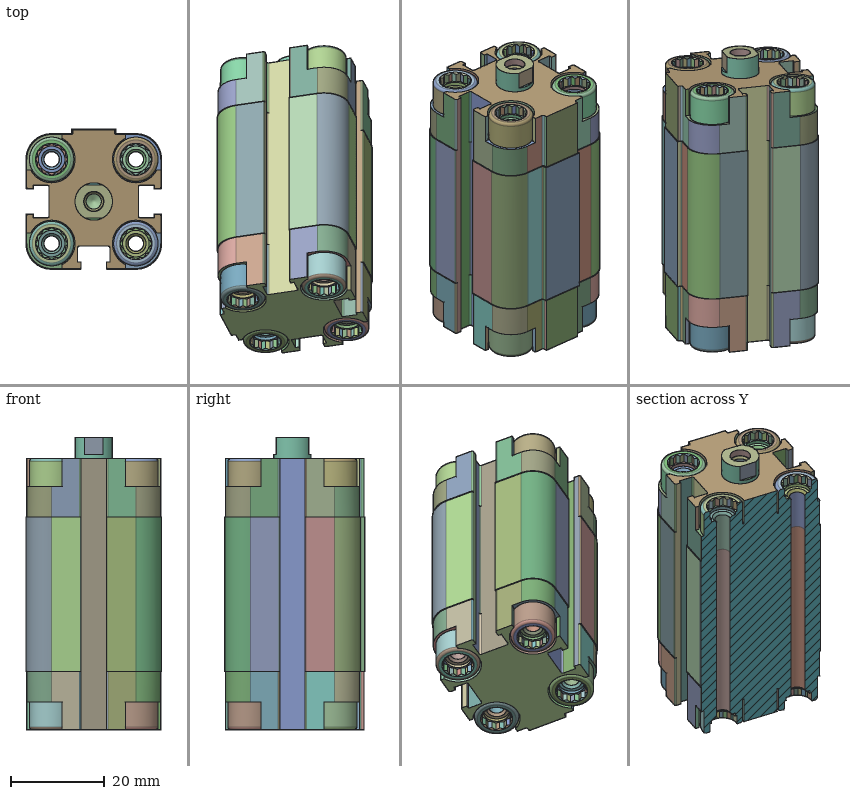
import cadquery as cq
import math

TOTAL_HEIGHT = 62.5
ROD_PROJECTION = 4.5
CAP_HEIGHT = 12.5
HOUSING_HEIGHT = TOTAL_HEIGHT - ROD_PROJECTION
BARREL_HEIGHT = HOUSING_HEIGHT - 2 * CAP_HEIGHT

SCREW_OFFSET = 9.0
BARREL_HALF = 14.5
CAP_HALF = 14.3
BARREL_TAB_HALF, BARREL_TAB_TOP, BARREL_ROUND = 4.75, 15.5, 0.2
CAP_TAB_HALF, CAP_TAB_TOP, CAP_ROUND = 4.45, 15.3, 0.4

SLOT_MOUTH_HALF = 2.7
SLOT_HALF = 3.45
SLOT_LIP = 12.9
SLOT_FLOOR = 9.55
SLOT_ANGLES = (-90, 0, 90)

POCKET_DEPTH = 6.0
POCKET_RADIUS = 5.0
POCKET_CORNER = 6.75
HEAD_DIAMETER = 9.5
HEAD_ROUND = 0.6
SOCKET_FLATS = 5.95
SOCKET_DEPTH = 2.2
SOCKET_RIM_DIAMETER = 6.9
SOCKET_CHAMFER = 0.5
BORE_DIAMETER = 5.7
BORE_DEPTH = 2.95

MOUTH_DIAMETER = 4.3
CORE_DIAMETER = 3.25
MOUTH_TAPER = (MOUTH_DIAMETER - CORE_DIAMETER) / 2

ROD_DIAMETER = 8.0
ROD_FLATS = 7.0
FLAT_HEIGHT = 3.6
ROD_LENGTH = ROD_PROJECTION + CAP_HEIGHT
ROD_COUNTERBORE = 1.5
ROD_TAPER_DIAMETER = 4.1
ROD_TAPER = (ROD_TAPER_DIAMETER - CORE_DIAMETER) / 2
ROD_HOLE_DEPTH = 10.0
DRILL_HALF_ANGLE = math.radians(59)


def rounded_arc(sketch, start, end, centre):
    """Add the short arc from start to end about the given centre."""
    radius = math.dist(start, centre)
    toward = ((start[0] + end[0]) / 2 - centre[0], (start[1] + end[1]) / 2 - centre[1])
    scale = radius / math.hypot(*toward)
    middle = (centre[0] + scale * toward[0], centre[1] + scale * toward[1])
    return sketch.threePointArc(middle, end)


def slot_cutter(half, round_radius, height):
    """T-slot on the -Y side with rounded lip edges and floor corners."""
    outside = 2 * half
    r = round_radius
    outline = cq.Workplane("XY").moveTo(0, -outside).lineTo(SLOT_MOUTH_HALF + r, -outside)
    outline = outline.lineTo(SLOT_MOUTH_HALF + r, -half)
    outline = rounded_arc(
        outline, (SLOT_MOUTH_HALF + r, -half), (SLOT_MOUTH_HALF, r - half), (SLOT_MOUTH_HALF + r, r - half)
    )
    outline = outline.lineTo(SLOT_MOUTH_HALF, -SLOT_LIP).lineTo(SLOT_HALF, -SLOT_LIP)
    outline = outline.lineTo(SLOT_HALF, -SLOT_FLOOR - r)
    outline = rounded_arc(
        outline, (SLOT_HALF, -SLOT_FLOOR - r), (SLOT_HALF - r, -SLOT_FLOOR), (SLOT_HALF - r, -SLOT_FLOOR - r)
    )
    return outline.lineTo(0, -SLOT_FLOOR).mirrorY().extrude(height)


def tab(half, tab_half, tab_top, round_radius, height):
    """Raised strip along the middle of the +Y side with rounded roots."""
    r = round_radius
    outline = cq.Workplane("XY").moveTo(0, SLOT_FLOOR).lineTo(tab_half + r, SLOT_FLOOR)
    outline = outline.lineTo(tab_half + r, half)
    outline = rounded_arc(outline, (tab_half + r, half), (tab_half, half + r), (tab_half + r, half + r))
    return outline.lineTo(tab_half, tab_top).lineTo(0, tab_top).mirrorY().extrude(height)


def profile_block(half, tab_half, tab_top, round_radius, height):
    """Rounded square length of the cylinder with its tab and three T-slots."""
    block = cq.Workplane("XY").rect(2 * half, 2 * half).extrude(height)
    block = block.edges("|Z").fillet(half - SCREW_OFFSET)
    block = block.union(tab(half, tab_half, tab_top, round_radius, height))
    cutter = slot_cutter(half, round_radius, height)
    for angle in SLOT_ANGLES:
        block = block.cut(cutter.rotate((0, 0, 0), (0, 0, 1), angle))
    return block


def corner_pocket(x_sign, y_sign):
    """Cutter for a screw pocket, open to both outer sides, below the top of a cap."""
    floor = cq.Workplane("XY").workplane(offset=CAP_HEIGHT - POCKET_DEPTH)
    round_part = floor.center(x_sign * SCREW_OFFSET, y_sign * SCREW_OFFSET)
    round_part = round_part.circle(POCKET_RADIUS).extrude(POCKET_DEPTH)
    square_centre = POCKET_CORNER + CAP_HALF / 2
    square_part = floor.center(x_sign * square_centre, y_sign * square_centre)
    square_part = square_part.rect(CAP_HALF, CAP_HALF).extrude(POCKET_DEPTH)
    return round_part.union(square_part)


def screw_head():
    """Rounded screw head on the Z axis, filling the pocket depth."""
    head = cq.Workplane("XY").workplane(offset=CAP_HEIGHT - POCKET_DEPTH)
    return head.circle(HEAD_DIAMETER / 2).extrude(POCKET_DEPTH).faces(">Z").edges().fillet(HEAD_ROUND)


def screw_hole():
    """Twelve-point socket, round bore and tapered through hole on the Z axis."""
    rim_radius = SOCKET_RIM_DIAMETER / 2
    corner_diameter = 2 * SOCKET_FLATS / math.sqrt(3)
    bore_floor = CAP_HEIGHT - BORE_DEPTH
    hole = (
        cq.Workplane("XZ")
        .moveTo(0, 0)
        .lineTo(CORE_DIAMETER / 2, 0)
        .lineTo(CORE_DIAMETER / 2, bore_floor - MOUTH_TAPER)
        .lineTo(MOUTH_DIAMETER / 2, bore_floor)
        .lineTo(BORE_DIAMETER / 2, bore_floor)
        .lineTo(BORE_DIAMETER / 2, CAP_HEIGHT - SOCKET_CHAMFER)
        .lineTo(rim_radius - SOCKET_CHAMFER, CAP_HEIGHT - SOCKET_CHAMFER)
        .lineTo(rim_radius, CAP_HEIGHT)
        .lineTo(0, CAP_HEIGHT)
        .close()
        .revolve(360, (0, 0, 0), (0, 1, 0))
    )
    hexagon = cq.Workplane("XY").workplane(offset=CAP_HEIGHT - SOCKET_DEPTH)
    hexagon = hexagon.polygon(6, corner_diameter).extrude(SOCKET_DEPTH)
    return hole.union(hexagon).union(hexagon.rotate((0, 0, 0), (0, 0, 1), 30))


def end_cap():
    """Cap with its outer end at the top and its inner end at Z = 0."""
    cap = profile_block(CAP_HALF, CAP_TAB_HALF, CAP_TAB_TOP, CAP_ROUND, CAP_HEIGHT)
    head = screw_head()
    hole = screw_hole()
    for x_sign in (-1, 1):
        for y_sign in (-1, 1):
            place = (x_sign * SCREW_OFFSET, y_sign * SCREW_OFFSET, 0)
            cap = cap.cut(corner_pocket(x_sign, y_sign))
            cap = cap.union(head.translate(place))
            cap = cap.cut(hole.translate(place))
    return cap


def make_housing():
    """Barrel and two mirrored caps in one body, with a recess for the rod in the top."""
    barrel = profile_block(BARREL_HALF, BARREL_TAB_HALF, BARREL_TAB_TOP, BARREL_ROUND, BARREL_HEIGHT)
    screw_places = [(x, y) for x in (-SCREW_OFFSET, SCREW_OFFSET) for y in (-SCREW_OFFSET, SCREW_OFFSET)]
    screw_cores = cq.Workplane("XY").pushPoints(screw_places).circle(CORE_DIAMETER / 2).extrude(BARREL_HEIGHT)
    barrel = barrel.cut(screw_cores).translate((0, 0, CAP_HEIGHT))
    cap = end_cap()
    bottom_cap = cap.mirror("XY").translate((0, 0, CAP_HEIGHT))
    top_cap = cap.translate((0, 0, CAP_HEIGHT + BARREL_HEIGHT))
    recess = cq.Workplane("XY").workplane(offset=TOTAL_HEIGHT - ROD_LENGTH)
    recess = recess.circle(ROD_DIAMETER / 2).extrude(ROD_LENGTH)
    return barrel.union(bottom_cap).union(top_cap).cut(recess)


def rod_hole():
    """Counterbored, tapered blind hole with a drill point, entering from the rod end."""
    taper_top = TOTAL_HEIGHT - ROD_COUNTERBORE
    core_floor = TOTAL_HEIGHT - ROD_HOLE_DEPTH
    core_radius = CORE_DIAMETER / 2
    return (
        cq.Workplane("XZ")
        .moveTo(0, TOTAL_HEIGHT)
        .lineTo(MOUTH_DIAMETER / 2, TOTAL_HEIGHT)
        .lineTo(MOUTH_DIAMETER / 2, taper_top)
        .lineTo(ROD_TAPER_DIAMETER / 2, taper_top)
        .lineTo(core_radius, taper_top - ROD_TAPER)
        .lineTo(core_radius, core_floor)
        .lineTo(0, core_floor - core_radius / math.tan(DRILL_HALF_ANGLE))
        .close()
        .revolve(360, (0, 0, 0), (0, 1, 0))
    )


def make_piston_rod():
    """Round rod with two wrench flats facing -Y and +Y."""
    rod = cq.Workplane("XY").workplane(offset=TOTAL_HEIGHT - ROD_LENGTH)
    rod = rod.circle(ROD_DIAMETER / 2).extrude(ROD_LENGTH)
    flat_base = cq.Workplane("XY").workplane(offset=TOTAL_HEIGHT - FLAT_HEIGHT)
    for y_sign in (-1, 1):
        flat_centre = y_sign * (ROD_FLATS + ROD_DIAMETER) / 2
        flat = flat_base.center(0, flat_centre).rect(ROD_DIAMETER, ROD_DIAMETER).extrude(FLAT_HEIGHT)
        rod = rod.cut(flat)
    return rod.cut(rod_hole())


housing = make_housing()
piston_rod = make_piston_rod()
result = cq.Compound.makeCompound([housing.val(), piston_rod.val()])